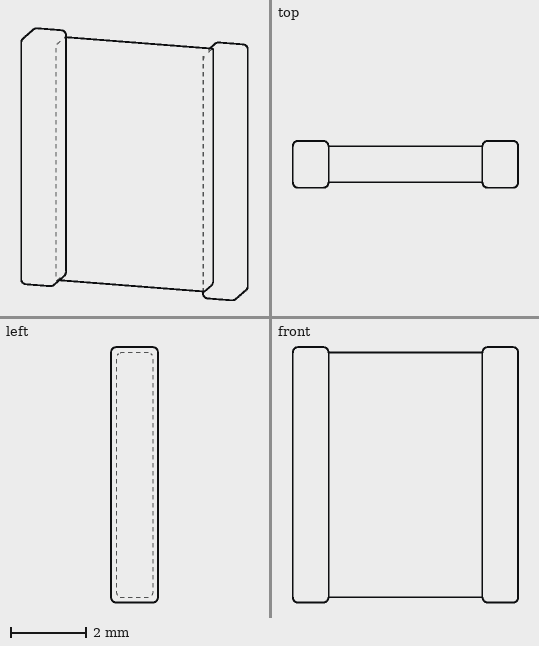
import cadquery as cq

total_length = 6.0
total_depth = 1.25
total_height = 6.8

terminal_length = 0.95
edge_radius = 0.14

core_length = total_length - 2 * terminal_length
core_depth = total_depth - 2 * edge_radius
core_height = total_height - 2 * edge_radius

terminal_offset = (total_length - terminal_length) / 2


def make_core():
    """Plate between the terminals, with its four long edges rounded."""
    plate = cq.Workplane("XY").box(core_length, core_depth, core_height)
    return plate.edges("|X").fillet(edge_radius)


def make_terminal(center_x):
    """Upright end bar, rounded on every edge."""
    bar = cq.Workplane("XY").box(terminal_length, total_depth, total_height)
    return bar.edges().fillet(edge_radius).translate((center_x, 0, 0))


core = make_core()

terminals = []
for side in (-1, 1):
    terminals.append(make_terminal(side * terminal_offset).val())

result = cq.Compound.makeCompound([core.val(), *terminals])